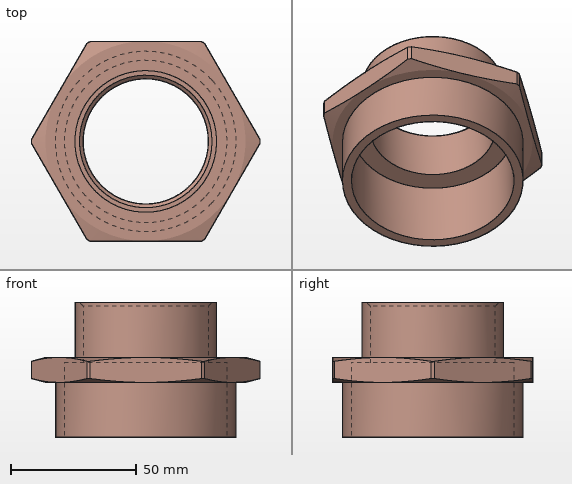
import cadquery as cq
import math

hex_across_flats = 80.0
hex_corner_diameter = 91.5
hex_thickness = 10.0
hex_chamfer_angle = 15.0

spigot_length = 22.0
lower_spigot_diameter = 72.23
upper_spigot_diameter = 56.66

upper_bore_diameter = 50.0
lower_bore_diameter = 65.0
bore_web_thickness = 2.0
upper_mouth_diameter = 53.0
mouth_chamfer_angle = 45.0

hex_bottom = spigot_length
hex_top = hex_bottom + hex_thickness
total_height = hex_top + spigot_length
bore_step_height = hex_top - bore_web_thickness


def cylinder(diameter, bottom, top):
    return cq.Workplane("XY").workplane(offset=bottom).circle(diameter / 2).extrude(top - bottom)


def revolve_about_axis(profile):
    """Turn a closed outline of (radius, height) points about the Z axis."""
    return cq.Workplane("XZ").polyline(profile).close().revolve(360, (0, 0, 0), (0, 1, 0))


def turned_blank():
    """Disc with both rims bevelled, limiting the corners of the hexagon."""
    flat_radius = hex_across_flats / 2
    corner_radius = hex_corner_diameter / 2
    bevel_drop = (corner_radius - flat_radius) * math.tan(math.radians(hex_chamfer_angle))
    profile = [
        (0, hex_bottom),
        (flat_radius, hex_bottom),
        (corner_radius, hex_bottom + bevel_drop),
        (corner_radius, hex_top - bevel_drop),
        (flat_radius, hex_top),
        (0, hex_top),
    ]
    return revolve_about_axis(profile)


def hex_flange():
    sharp_corner_diameter = hex_across_flats / math.cos(math.pi / 6)
    prism = (
        cq.Workplane("XY")
        .workplane(offset=hex_bottom)
        .polygon(6, sharp_corner_diameter)
        .extrude(hex_thickness)
    )
    return prism.intersect(turned_blank())


def stepped_bore():
    """Wide lower bore, narrow upper bore and a conical mouth at the top."""
    lower_radius = lower_bore_diameter / 2
    upper_radius = upper_bore_diameter / 2
    mouth_radius = upper_mouth_diameter / 2
    mouth_depth = (mouth_radius - upper_radius) / math.tan(math.radians(mouth_chamfer_angle))
    profile = [
        (0, 0),
        (lower_radius, 0),
        (lower_radius, bore_step_height),
        (upper_radius, bore_step_height),
        (upper_radius, total_height - mouth_depth),
        (mouth_radius, total_height),
        (0, total_height),
    ]
    return revolve_about_axis(profile)


lower_spigot = cylinder(lower_spigot_diameter, 0, hex_bottom)
upper_spigot = cylinder(upper_spigot_diameter, hex_top, total_height)
body = hex_flange().union(lower_spigot).union(upper_spigot)
result = body.cut(stepped_bore())